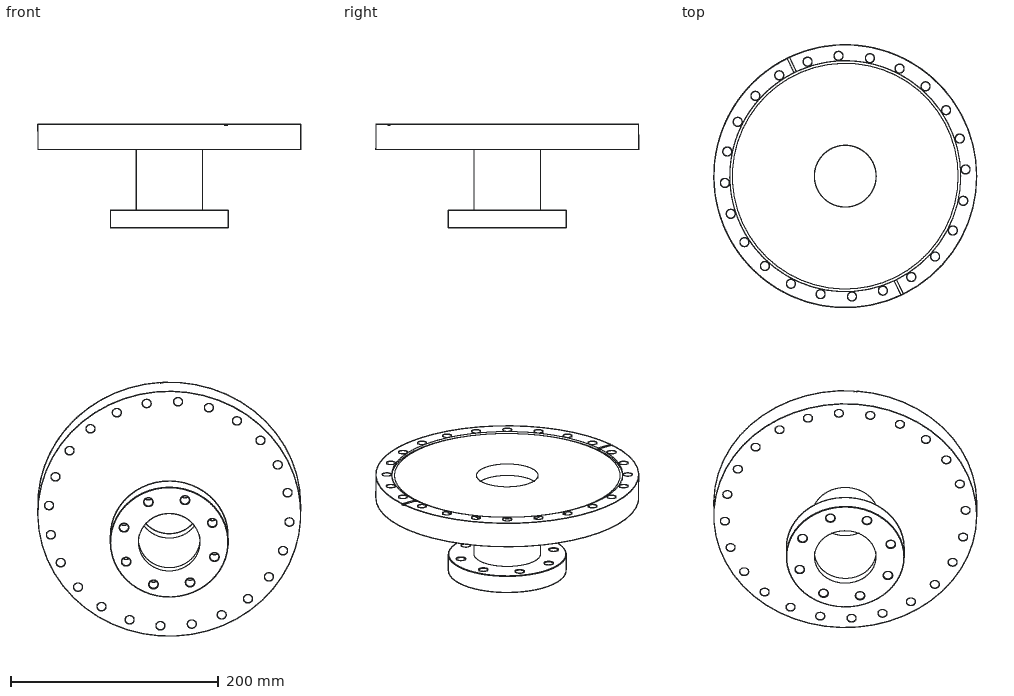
import cadquery as cq

total_height = 100.0

large_diameter = 253.2
large_thickness = 24.5
large_edge_chamfer = 0.3
large_bolt_circle = 232.0
large_bolt_count = 24

recess_diameter = 222.3
recess_wall_depth = 2.0
floor_diameter = 217.2
floor_depth = 1.0

groove_width = 2.5
groove_depth = 1.3
groove_pitch_steps = 7.5

small_diameter = 113.7
small_thickness = 17.5
small_edge_chamfer = 0.5
small_bolt_circle = 92.2
small_bolt_count = 8

bolt_hole_diameter = 8.4
first_bolt_angle = 3.2

bore_diameter = 59.2
tube_diameter = 64.0
large_socket_depth = 11.6
small_socket_depth = small_thickness / 2

large_bottom = total_height - large_thickness
tube_bottom = small_thickness - small_socket_depth
tube_top = large_bottom + large_socket_depth


def cylinder(diameter, bottom, top):
    """Solid cylinder on the Z axis between two heights."""
    return cq.Workplane("XY").workplane(offset=bottom).circle(diameter / 2).extrude(top - bottom)


def drilled_disc(diameter, bottom, top, circle_diameter, hole_count, edge_chamfer):
    """Disc with a ring of through holes, its rims and hole mouths chamfered."""
    holes = (
        cq.Workplane("XY")
        .workplane(offset=bottom)
        .polarArray(circle_diameter / 2, first_bolt_angle, 360, hole_count)
        .circle(bolt_hole_diameter / 2)
        .extrude(top - bottom)
    )
    return cylinder(diameter, bottom, top).cut(holes).edges("%CIRCLE").chamfer(edge_chamfer)


def gasket_recess():
    """Cutter for the recess: flat floor, conical knife edge and outer wall."""
    return (
        cq.Workplane("XZ")
        .moveTo(0, total_height)
        .lineTo(recess_diameter / 2, total_height)
        .lineTo(recess_diameter / 2, total_height - recess_wall_depth)
        .lineTo(floor_diameter / 2, total_height - floor_depth)
        .lineTo(0, total_height - floor_depth)
        .close()
        .revolve(360, (0, 0, 0), (0, 1, 0))
    )


def leak_check_grooves():
    """Cutter for both grooves: a bar across the flange, without the part over the recess."""
    bolt_pitch = 360 / large_bolt_count
    groove_angle = first_bolt_angle + groove_pitch_steps * bolt_pitch
    bar = cq.Workplane("XY").box(large_diameter, groove_width, groove_depth, centered=(True, True, False))
    bar = bar.cut(cylinder(recess_diameter, 0, groove_depth))
    return bar.rotate((0, 0, 0), (0, 0, 1), groove_angle).translate((0, 0, total_height - groove_depth))


def make_large_flange():
    flange = drilled_disc(
        large_diameter, large_bottom, total_height, large_bolt_circle, large_bolt_count, large_edge_chamfer
    )
    flange = flange.cut(gasket_recess())
    flange = flange.cut(leak_check_grooves())
    flange = flange.cut(cylinder(bore_diameter, large_bottom, total_height))
    return flange.cut(cylinder(tube_diameter, large_bottom, tube_top))


def make_small_flange():
    flange = drilled_disc(
        small_diameter, 0, small_thickness, small_bolt_circle, small_bolt_count, small_edge_chamfer
    )
    flange = flange.cut(cylinder(bore_diameter, 0, small_thickness))
    return flange.cut(cylinder(tube_diameter, tube_bottom, small_thickness))


def make_tube():
    return cylinder(tube_diameter, tube_bottom, tube_top).cut(cylinder(bore_diameter, tube_bottom, tube_top))


large_flange = make_large_flange()
tube = make_tube()
small_flange = make_small_flange()

result = cq.Compound.makeCompound([large_flange.val(), tube.val(), small_flange.val()])